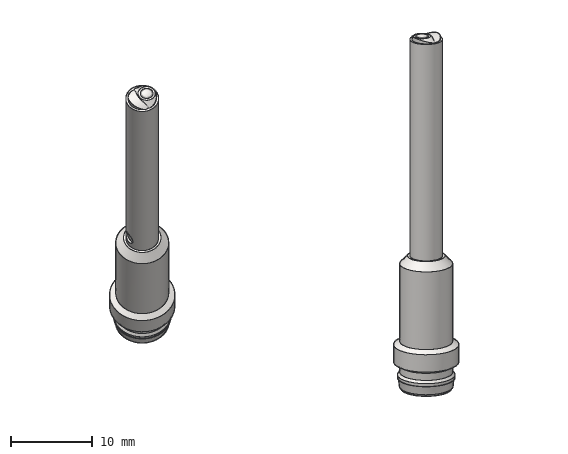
import cadquery as cq
import math

total_height = 45.75

base_radius = 3.1
snap_foot_radius = 3.3
snap_waist_radius = 3.45
snap_radius = 3.52
neck_radius = 3.25
flange_radius = 4.005
body_radius = 3.25
shoulder_radius = 2.3
pin_radius = 2.0

base_chamfer_top = 0.27
snap_taper_top = 1.35
snap_band_top = 1.8
neck_bottom = 2.1
neck_top = 3.0
flange_bottom = 3.45
flange_top = 5.67
flange_chamfer_top = 6.1
body_top = 16.1
shoulder_top = 17.1
pin_top = 45.05

recess_radius = 0.8
recess_height = 18.5
recess_depth = 0.3

tip_radius = 1.75
barrel_radius = 2.97
barrel_top = 45.55
barrel_back_y = -0.1
cone_center_y = 0.65
cone_top_radius = 1.05
cone_bottom_radius = 1.85
cone_top = 45.58
nub_radius = 0.8
nub_height = 0.05
dome_base_radius = 0.65


def make_turned_body():
    profile = [
        (0, 0),
        (base_radius, 0),
        (snap_foot_radius, base_chamfer_top),
        (snap_waist_radius, snap_taper_top),
        (snap_radius, snap_taper_top),
        (snap_radius, snap_band_top),
        (neck_radius, neck_bottom),
        (neck_radius, neck_top),
        (flange_radius, flange_bottom),
        (flange_radius, flange_top),
        (body_radius, flange_chamfer_top),
        (body_radius, body_top),
        (shoulder_radius, shoulder_top),
        (pin_radius, shoulder_top),
        (pin_radius, pin_top),
        (0, pin_top),
    ]
    return cq.Workplane("XZ").polyline(profile).close().revolve(360, (0, 0), (0, 1))


def make_recess():
    """Cutter reaching from the pin's front surface to the recess floor."""
    return (
        cq.Workplane("XZ", origin=(0, -pin_radius, 0))
        .center(0, recess_height)
        .circle(recess_radius)
        .extrude(-recess_depth)
    )


def make_half_barrel():
    """Arched roof running along Y, on the front part of the tip only."""
    return (
        cq.Workplane("XZ", origin=(0, barrel_back_y, 0))
        .center(0, barrel_top - barrel_radius)
        .circle(barrel_radius)
        .extrude(tip_radius)
    )


def make_nub_cone():
    """Off-center cone carrying a low conical step and a spherical cap."""
    step_top = cone_top + nub_height
    dome_rise = total_height - step_top
    dome_radius = (dome_base_radius**2 + dome_rise**2) / (2 * dome_rise)
    arc_middle_radius = dome_base_radius / 2
    arc_middle_z = total_height - dome_radius + math.sqrt(dome_radius**2 - arc_middle_radius**2)
    return (
        cq.Workplane("XZ", origin=(0, cone_center_y, 0))
        .moveTo(0, pin_top)
        .lineTo(cone_bottom_radius, pin_top)
        .lineTo(cone_top_radius, cone_top)
        .lineTo(nub_radius, cone_top)
        .lineTo(dome_base_radius, step_top)
        .threePointArc((arc_middle_radius, arc_middle_z), (0, total_height))
        .close()
        .revolve(360, (0, 0), (0, 1))
    )


def make_tip():
    envelope = (
        cq.Workplane("XY", origin=(0, 0, pin_top))
        .circle(tip_radius)
        .extrude(total_height - pin_top)
    )
    return make_half_barrel().union(make_nub_cone()).intersect(envelope)


result = make_turned_body().cut(make_recess()).union(make_tip())